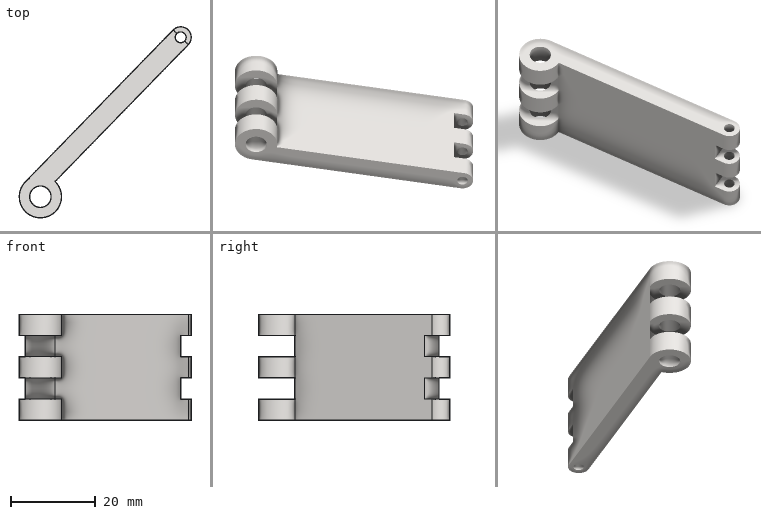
import cadquery as cq
import math

leaf_thickness = 5.0
leaf_length = 50.0
leaf_angle = 45.78
knuckle_height = 5.0
knuckle_count = 3
large_bore_diameter = 5.0
small_bore_diameter = 2.5

large_radius = leaf_thickness
small_radius = leaf_thickness / 2
knuckle_pitch = 2 * knuckle_height
total_height = (2 * knuckle_count - 1) * knuckle_height
small_axis = (leaf_length, leaf_thickness / 2)
notch_start = leaf_length - small_radius
knuckle_bottoms = [i * knuckle_pitch for i in range(knuckle_count)]
gap_bottoms = [z + knuckle_height for z in knuckle_bottoms[:-1]]



def cylinder(center, radius, bottom, height):
    """Upright cylinder standing at the given height."""
    return cq.Workplane("XY", origin=(*center, bottom)).circle(radius).extrude(height)


def turn_to_leaf_angle(body):
    """Swing a body about the large pivot to the final direction of the leaf."""
    return body.rotate((0, 0, 0), (0, 0, 1), leaf_angle)


def make_leaf():
    """Flat leaf with large bored knuckles at one end and notched tabs at the other."""
    leaf = cq.Workplane("XY").box(leaf_length, leaf_thickness, total_height, centered=False)
    pivot = (0, 0)

    for bottom in knuckle_bottoms:
        leaf = leaf.union(cylinder(pivot, large_radius, bottom, knuckle_height))

    for bottom in gap_bottoms:
        leaf = leaf.cut(cylinder(pivot, large_radius, bottom, knuckle_height))
        notch = cq.Workplane("XY", origin=(notch_start, 0, bottom)).box(
            small_radius, leaf_thickness, knuckle_height, centered=False
        )
        leaf = leaf.cut(notch)

    leaf = leaf.cut(cylinder(pivot, large_bore_diameter / 2, 0, total_height))
    leaf = leaf.cut(cylinder(small_axis, small_bore_diameter / 2, 0, total_height))
    return turn_to_leaf_angle(leaf)


def make_end_cap(bottom):
    """Half ring that closes the small bore at the tip of one tab."""
    bore_radius = small_bore_diameter / 2
    cap = (
        cq.Workplane("XY", origin=(*small_axis, bottom))
        .moveTo(0, -small_radius)
        .threePointArc((small_radius, 0), (0, small_radius))
        .lineTo(0, bore_radius)
        .threePointArc((bore_radius, 0), (0, -bore_radius))
        .close()
        .extrude(knuckle_height)
    )
    return turn_to_leaf_angle(cap)


leaf = make_leaf()
end_caps = [make_end_cap(bottom) for bottom in knuckle_bottoms]

result = cq.Compound.makeCompound([leaf.val(), *[cap.val() for cap in end_caps]])